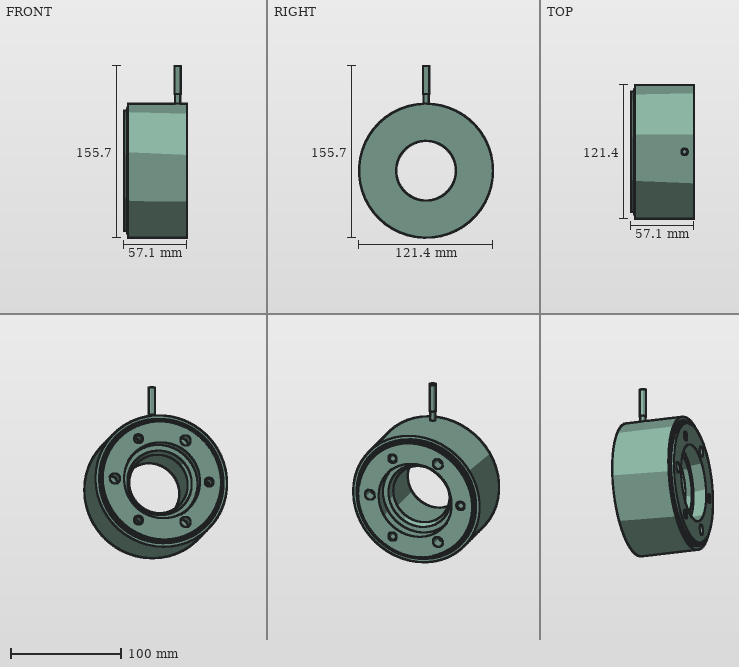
import cadquery as cq
import math

total_length = 57.1
outer_radius = 60.7
overall_height = 155.7

pilot_radius = 54.7
pilot_length = 2.6
collar_small_radius = 56.0
collar_large_radius = 57.5
collar_end = 3.5

recess_radius = 35.0
recess_depth = 12.0
cone_mouth_radius = 29.7
cone_length = 5.0
bore_radius = 27.0

hole_circle_radius = 43.5
holes_per_kind = 3
hole_depth = 15.0
plain_hole_radius = 4.7
chamfered_hole_radius = 3.3
hole_chamfer = 0.8

cable_x = 48.5
cable_radius = 2.5
sleeve_radius = 3.0
sleeve_length = 25.4
cable_root_depth = 1.5


def revolve_about_x(half_section):
    """Turn a closed outline of (X, radius) points about the X axis."""
    outline = cq.Workplane("XY").polyline(half_section).close()
    return outline.revolve(360, (0, 0, 0), (1, 0, 0))


def make_housing():
    """Ring with a stepped shoulder outside and a recess, cone and bore inside."""
    outer_points = [
        (0, pilot_radius),
        (pilot_length, pilot_radius),
        (pilot_length, collar_small_radius),
        (collar_end, collar_large_radius),
        (collar_end, outer_radius),
        (total_length, outer_radius),
    ]
    inner_points = [
        (total_length, bore_radius),
        (recess_depth + cone_length, bore_radius),
        (recess_depth, cone_mouth_radius),
        (recess_depth, recess_radius),
        (0, recess_radius),
    ]
    return revolve_about_x(outer_points + inner_points)


def place_on_hole_circle(cutter, angle):
    """Move a cutter from the X axis to an angle measured from +Y towards +Z."""
    y = hole_circle_radius * math.cos(math.radians(angle))
    z = hole_circle_radius * math.sin(math.radians(angle))
    return cutter.translate((0, y, z))


def make_plain_hole():
    return cq.Workplane("YZ").circle(plain_hole_radius).extrude(hole_depth)


def make_chamfered_hole():
    half_section = [
        (0, 0),
        (0, chamfered_hole_radius + hole_chamfer),
        (hole_chamfer, chamfered_hole_radius),
        (hole_depth, chamfered_hole_radius),
        (hole_depth, 0),
    ]
    return revolve_about_x(half_section)


def make_post(radius, bottom, top):
    """Upright cylinder on the cable's axis."""
    base = cq.Workplane("XY", origin=(cable_x, 0, bottom))
    return base.circle(radius).extrude(top - bottom)


def make_cable():
    """Thin cable rooted in the housing wall, with a thicker sleeve at its end."""
    root = outer_radius - cable_root_depth
    top = overall_height - outer_radius
    sleeve_bottom = top - sleeve_length
    cable = make_post(cable_radius, root, sleeve_bottom)
    sleeve = make_post(sleeve_radius, sleeve_bottom, top)
    return cable.union(sleeve)


result = make_housing()
hole_spacing = 360 / holes_per_kind
for index in range(holes_per_kind):
    plain_angle = index * hole_spacing
    chamfered_angle = plain_angle + hole_spacing / 2
    result = result.cut(place_on_hole_circle(make_plain_hole(), plain_angle))
    result = result.cut(place_on_hole_circle(make_chamfered_hole(), chamfered_angle))
result = result.union(make_cable())